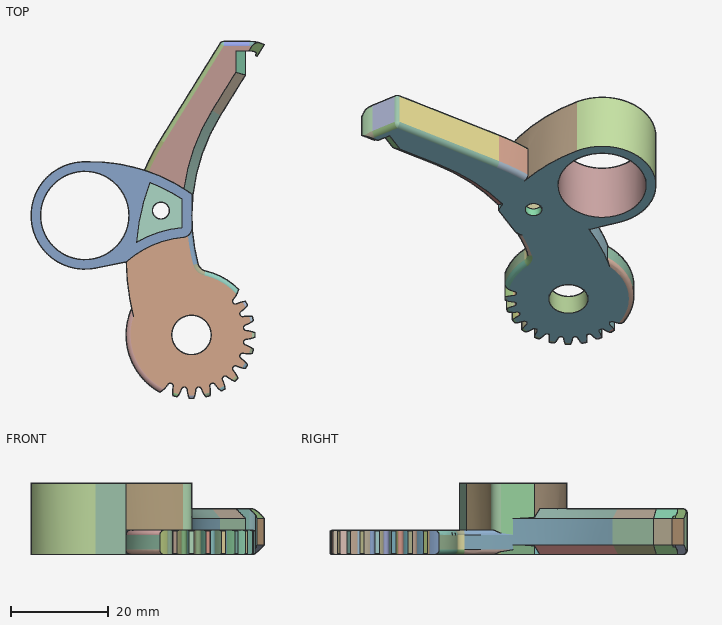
import cadquery as cq
import math

TOWER_HEIGHT = 14.6
ARM_HEIGHT = 9.4
GEAR_PLATE_HEIGHT = 5.0
WALL = 2.0
EDGE_FILLET = 1.0
CUT_MARGIN = 1.0

RING_CENTRE = (-21.8, 24.4)
RING_BORE_RADIUS = 9.0
RING_RADIUS = RING_BORE_RADIUS + WALL
TOWER_TOP_RADIUS = 36.2
TOWER_TOP_CENTRE_X = -20.8
TOWER_CLEARANCE_RADIUS = 20.0
TOWER_RIGHT_X = 0.1
TOWER_CORNER_FILLET = 2.0
SCREW_HOLE_CENTRE = (-6.25, 25.4)
SCREW_HOLE_DIAMETER = 3.4

ARM_ANGLE = 58.2
ARM_LEFT_CENTRE = (32.8, 15.5)
ARM_LEFT_RADIUS = 46.15
ARM_RIGHT_RADIUS = 38.7
ARM_RIGHT_CENTRE = (TOWER_RIGHT_X + ARM_RIGHT_RADIUS, RING_CENTRE[1])
ARM_END_Y = 60.0
ARM_CHAMFER = 2.0

NOTCH_X = 11.05
NOTCH_BOTTOM_Y = 50.0
NOTCH_TOP_Y = ARM_END_Y - WALL
HOOK_BEND_X = 11.9
HOOK_END_Y = 59.3
HOOK_INNER_MIDDLE = (12.65, 57.9)
HOOK_INNER_END = (13.25, 57.6)
BARB_BACK = (13.05, 57.1)
BARB_TIP_Y = 56.9

MODULE = 1.0
TOOTH_COUNT = 24
PRESSURE_ANGLE = math.radians(20)
PITCH_RADIUS = MODULE * TOOTH_COUNT / 2
TIP_RADIUS = PITCH_RADIUS + MODULE
DEDENDUM = 1.25 * MODULE
ROOT_RADIUS = PITCH_RADIUS - DEDENDUM
BASE_RADIUS = PITCH_RADIUS * math.cos(PRESSURE_ANGLE)
DISC_RADIUS = 13.4
GEAR_BORE_DIAMETER = 8.0
TOOTH_PITCH = 360 / TOOTH_COUNT
FIRST_GAP_ANGLE = -112.5
GAP_COUNT = 11
LAST_GAP_ANGLE = FIRST_GAP_ANGLE + (GAP_COUNT - 1) * TOOTH_PITCH
GEAR_MIDDLE_ANGLE = (FIRST_GAP_ANGLE + LAST_GAP_ANGLE) / 2
NECK_FILLET = 2.0


def polar(centre, radius, degrees):
    """Point on a circle."""
    angle = math.radians(degrees)
    return centre[0] + radius * math.cos(angle), centre[1] + radius * math.sin(angle)


def on_circle_at_x(centre, radius, x):
    """Upper point of a circle at a given X."""
    return x, centre[1] + math.sqrt(radius**2 - (x - centre[0])**2)


def on_circle_at_y(centre, radius, y):
    """Left point of a circle at a given Y."""
    return centre[0] - math.sqrt(radius**2 - (y - centre[1])**2), y


def circle_meeting(centre_a, radius_a, centre_b, radius_b):
    """Where two circles meet: the point to the left when looking from centre a to centre b."""
    dx = centre_b[0] - centre_a[0]
    dy = centre_b[1] - centre_a[1]
    distance = math.hypot(dx, dy)
    along = (radius_a**2 - radius_b**2 + distance**2) / (2 * distance)
    across = math.sqrt(radius_a**2 - along**2)
    return (
        centre_a[0] + (along * dx - across * dy) / distance,
        centre_a[1] + (along * dy + across * dx) / distance,
    )


def arc_middle(centre, start, end):
    """Middle of the shorter arc between two points of a circle."""
    mx = (start[0] + end[0]) / 2 - centre[0]
    my = (start[1] + end[1]) / 2 - centre[1]
    scale = math.dist(centre, start) / math.hypot(mx, my)
    return centre[0] + mx * scale, centre[1] + my * scale


def along_arm_to_y(start, y):
    """Point reached by following the arm direction from a start to a given Y."""
    return start[0] + (y - start[1]) / math.tan(math.radians(ARM_ANGLE)), y


def midpoint(start, end):
    """Middle of a straight line."""
    return (start[0] + end[0]) / 2, (start[1] + end[1]) / 2


def toward(centre, target, radius):
    """Point at a radius from the centre, in the direction of the target."""
    scale = radius / math.dist(centre, target)
    return centre[0] + (target[0] - centre[0]) * scale, centre[1] + (target[1] - centre[1]) * scale


GEAR_CENTRE = (0.0, 0.0)
TOWER_TOP_CENTRE = (
    TOWER_TOP_CENTRE_X,
    RING_CENTRE[1]
    - math.sqrt((TOWER_TOP_RADIUS - RING_RADIUS)**2 - (TOWER_TOP_CENTRE_X - RING_CENTRE[0])**2),
)
ARM_SPLIT_Y = RING_CENTRE[1]
ARM_SPLIT_LEFT = on_circle_at_y(ARM_LEFT_CENTRE, ARM_LEFT_RADIUS, ARM_SPLIT_Y)
ARM_SPLIT_RIGHT = on_circle_at_y(ARM_RIGHT_CENTRE, ARM_RIGHT_RADIUS, ARM_SPLIT_Y)


def tower():
    """Ring blended into a wedge-shaped tower."""
    corner = circle_meeting(GEAR_CENTRE, TOWER_CLEARANCE_RADIUS, ARM_LEFT_CENTRE, ARM_LEFT_RADIUS)
    to_corner = math.atan2(corner[1] - RING_CENTRE[1], corner[0] - RING_CENTRE[0])
    tangent_offset = math.acos(RING_RADIUS / math.dist(RING_CENTRE, corner))
    ring_exit = polar(RING_CENTRE, RING_RADIUS, math.degrees(to_corner - tangent_offset))
    ring_entry = toward(TOWER_TOP_CENTRE, RING_CENTRE, TOWER_TOP_RADIUS)
    top_right = on_circle_at_x(TOWER_TOP_CENTRE, TOWER_TOP_RADIUS, TOWER_RIGHT_X)
    bottom_right = on_circle_at_x(GEAR_CENTRE, TOWER_CLEARANCE_RADIUS, TOWER_RIGHT_X)
    body = (
        cq.Workplane("XY")
        .moveTo(*ring_exit)
        .lineTo(*corner)
        .threePointArc(arc_middle(GEAR_CENTRE, corner, bottom_right), bottom_right)
        .lineTo(*top_right)
        .threePointArc(arc_middle(TOWER_TOP_CENTRE, top_right, ring_entry), ring_entry)
        .threePointArc(polar(RING_CENTRE, RING_RADIUS, 180), ring_exit)
        .close()
        .extrude(TOWER_HEIGHT)
    )
    rounded_edge = cq.selectors.NearestToPointSelector((*bottom_right, TOWER_HEIGHT / 2))
    return body.edges(rounded_edge).fillet(TOWER_CORNER_FILLET)


def tower_pocket():
    """Open-topped pocket whose sides run one wall thickness inside the tower and the arm."""
    left_radius = ARM_LEFT_RADIUS - WALL
    top_radius = TOWER_TOP_RADIUS - WALL
    bottom_radius = TOWER_CLEARANCE_RADIUS + WALL
    right_x = TOWER_RIGHT_X - WALL
    top_left = circle_meeting(TOWER_TOP_CENTRE, top_radius, ARM_LEFT_CENTRE, left_radius)
    bottom_left = circle_meeting(GEAR_CENTRE, bottom_radius, ARM_LEFT_CENTRE, left_radius)
    top_right = on_circle_at_x(TOWER_TOP_CENTRE, top_radius, right_x)
    bottom_right = on_circle_at_x(GEAR_CENTRE, bottom_radius, right_x)
    return (
        cq.Workplane("XY", origin=(0, 0, WALL))
        .moveTo(*bottom_left)
        .threePointArc(arc_middle(GEAR_CENTRE, bottom_left, bottom_right), bottom_right)
        .lineTo(*top_right)
        .threePointArc(arc_middle(TOWER_TOP_CENTRE, top_right, top_left), top_left)
        .threePointArc(arc_middle(ARM_LEFT_CENTRE, top_left, bottom_left), bottom_left)
        .close()
        .extrude(TOWER_HEIGHT)
    )


def through_hole(centre, diameter):
    """Cylinder that cuts through the whole part."""
    height = TOWER_HEIGHT + 2 * CUT_MARGIN
    return cq.Workplane("XY", origin=(*centre, -CUT_MARGIN)).circle(diameter / 2).extrude(height)


def rim_edges(body, plan_points, height):
    """Bottom and top edges of an extruded body, picked by points on its outline."""
    picked = []
    for x, y in plan_points:
        for z in (0, height):
            picked += body.edges(cq.selectors.NearestToPointSelector((x, y, z))).vals()
    return body.newObject(picked)


def upper_arm():
    """Curved then straight arm, chamfered along its right side, rounded on its left side and end."""
    left_straight = polar(ARM_LEFT_CENTRE, ARM_LEFT_RADIUS, ARM_ANGLE + 90)
    right_straight = polar(ARM_RIGHT_CENTRE, ARM_RIGHT_RADIUS, ARM_ANGLE + 90)
    end_left = along_arm_to_y(left_straight, ARM_END_Y)
    hook_start = (HOOK_BEND_X, ARM_END_Y)
    hook_end = along_arm_to_y(right_straight, HOOK_END_Y)
    hook_drop = ARM_END_Y - HOOK_END_Y
    hook_radius = ((hook_end[0] - HOOK_BEND_X)**2 + hook_drop**2) / (2 * hook_drop)
    hook_centre = (HOOK_BEND_X, ARM_END_Y - hook_radius)

    left_middle = arc_middle(ARM_LEFT_CENTRE, ARM_SPLIT_LEFT, left_straight)
    right_middle = arc_middle(ARM_RIGHT_CENTRE, ARM_SPLIT_RIGHT, right_straight)
    hook_middle = arc_middle(hook_centre, hook_start, hook_end)
    body = (
        cq.Workplane("XY")
        .moveTo(*ARM_SPLIT_RIGHT)
        .threePointArc(right_middle, right_straight)
        .lineTo(*hook_end)
        .threePointArc(hook_middle, hook_start)
        .lineTo(*end_left)
        .lineTo(*left_straight)
        .threePointArc(left_middle, ARM_SPLIT_LEFT)
        .close()
        .extrude(ARM_HEIGHT)
    )
    right_side = [right_middle, midpoint(right_straight, hook_end)]
    body = rim_edges(body, right_side, ARM_HEIGHT).chamfer(ARM_CHAMFER)

    end_corner = cq.selectors.NearestToPointSelector((*end_left, ARM_HEIGHT / 2))
    body = body.edges(end_corner).fillet(EDGE_FILLET)
    left_and_end = [
        left_middle,
        midpoint(left_straight, end_left),
        end_left,
        midpoint(end_left, hook_start),
        hook_middle,
    ]
    body = rim_edges(body, left_and_end, ARM_HEIGHT).fillet(EDGE_FILLET)
    barb_tip = along_arm_to_y(right_straight, BARB_TIP_Y)
    return body.cut(arm_notch(barb_tip))


def arm_notch(barb_tip):
    """Notch that leaves the hook; its floor carries the same chamfers as the arm."""
    clear_x = HOOK_INNER_END[0] + ARM_CHAMFER + CUT_MARGIN
    plan = (
        cq.Workplane("XY")
        .moveTo(NOTCH_X - ARM_CHAMFER - CUT_MARGIN, NOTCH_BOTTOM_Y)
        .lineTo(NOTCH_X - ARM_CHAMFER - CUT_MARGIN, NOTCH_TOP_Y)
        .lineTo(HOOK_BEND_X, NOTCH_TOP_Y)
        .threePointArc(HOOK_INNER_MIDDLE, HOOK_INNER_END)
        .lineTo(*BARB_BACK)
        .lineTo(*barb_tip)
        .lineTo(clear_x, BARB_TIP_Y)
        .lineTo(clear_x, NOTCH_BOTTOM_Y)
        .close()
        .extrude(ARM_HEIGHT)
    )
    section = (
        cq.Workplane("XZ", origin=(0, ARM_END_Y, 0))
        .moveTo(NOTCH_X - ARM_CHAMFER, 0)
        .lineTo(NOTCH_X, ARM_CHAMFER)
        .lineTo(NOTCH_X, ARM_HEIGHT - ARM_CHAMFER)
        .lineTo(NOTCH_X - ARM_CHAMFER, ARM_HEIGHT)
        .lineTo(clear_x, ARM_HEIGHT)
        .lineTo(clear_x, 0)
        .close()
        .extrude(ARM_END_Y - NOTCH_BOTTOM_Y)
    )
    return plan.intersect(section)


def gear_plate():
    """Lower arm running into the gear disc, with rounded rims except along the arm's left side."""
    disc_left = circle_meeting(GEAR_CENTRE, DISC_RADIUS, ARM_LEFT_CENTRE, ARM_LEFT_RADIUS)
    neck_to_disc = DISC_RADIUS + NECK_FILLET
    neck_to_arm = ARM_RIGHT_RADIUS - NECK_FILLET
    neck_centre = circle_meeting(GEAR_CENTRE, neck_to_disc, ARM_RIGHT_CENTRE, neck_to_arm)
    neck_disc = toward(GEAR_CENTRE, neck_centre, DISC_RADIUS)
    neck_arm = toward(ARM_RIGHT_CENTRE, neck_centre, ARM_RIGHT_RADIUS)

    left_middle = arc_middle(ARM_LEFT_CENTRE, disc_left, ARM_SPLIT_LEFT)
    right_middle = arc_middle(ARM_RIGHT_CENTRE, ARM_SPLIT_RIGHT, neck_arm)
    neck_middle = arc_middle(neck_centre, neck_arm, neck_disc)
    disc_far = polar(GEAR_CENTRE, DISC_RADIUS, GEAR_MIDDLE_ANGLE)
    body = (
        cq.Workplane("XY")
        .moveTo(*disc_left)
        .threePointArc(left_middle, ARM_SPLIT_LEFT)
        .lineTo(*ARM_SPLIT_RIGHT)
        .threePointArc(right_middle, neck_arm)
        .threePointArc(neck_middle, neck_disc)
        .threePointArc(disc_far, disc_left)
        .close()
        .extrude(GEAR_PLATE_HEIGHT)
    )
    rounded_rim = [right_middle, neck_middle, disc_far]
    return rim_edges(body, rounded_rim, GEAR_PLATE_HEIGHT).fillet(EDGE_FILLET)


def gap_half_width(radius):
    """Half the space between two involute teeth at a radius."""
    pressure = math.acos(BASE_RADIUS / radius)
    involute = math.tan(pressure) - pressure
    pitch_involute = math.tan(PRESSURE_ANGLE) - PRESSURE_ANGLE
    return radius * (math.pi / (2 * TOOTH_COUNT) - pitch_involute + involute)


def tooth_gap():
    """Cutter for one space between teeth, pointing along +X."""
    base = gap_half_width(BASE_RADIUS)
    pitch = gap_half_width(PITCH_RADIUS)
    outer_radius = DISC_RADIUS + CUT_MARGIN
    outer = gap_half_width(outer_radius)
    return (
        cq.Workplane("XY", origin=(0, 0, -CUT_MARGIN))
        .moveTo(BASE_RADIUS, base)
        .threePointArc((ROOT_RADIUS, 0), (BASE_RADIUS, -base))
        .threePointArc((PITCH_RADIUS, -pitch), (outer_radius, -outer))
        .lineTo(outer_radius, outer)
        .threePointArc((PITCH_RADIUS, pitch), (BASE_RADIUS, base))
        .close()
        .extrude(GEAR_PLATE_HEIGHT + 2 * CUT_MARGIN)
    )


def tip_trim():
    """Ring sector that trims the disc down to the tooth tips between the first and last gap."""
    outer_radius = DISC_RADIUS + CUT_MARGIN
    corners = [
        (polar(GEAR_CENTRE, radius, FIRST_GAP_ANGLE), polar(GEAR_CENTRE, radius, LAST_GAP_ANGLE))
        for radius in (TIP_RADIUS, outer_radius)
    ]
    (inner_start, inner_end), (outer_start, outer_end) = corners
    return (
        cq.Workplane("XY", origin=(0, 0, -CUT_MARGIN))
        .moveTo(*inner_start)
        .threePointArc(polar(GEAR_CENTRE, TIP_RADIUS, GEAR_MIDDLE_ANGLE), inner_end)
        .lineTo(*outer_end)
        .threePointArc(polar(GEAR_CENTRE, outer_radius, GEAR_MIDDLE_ANGLE), outer_start)
        .close()
        .extrude(GEAR_PLATE_HEIGHT + 2 * CUT_MARGIN)
    )


def toothed_plate():
    """Gear plate with its sector of teeth cut."""
    plate = gear_plate().cut(tip_trim())
    for index in range(GAP_COUNT):
        angle = FIRST_GAP_ANGLE + index * TOOTH_PITCH
        plate = plate.cut(tooth_gap().rotate((0, 0, 0), (0, 0, 1), angle))
    return plate


result = (
    tower()
    .union(upper_arm())
    .union(toothed_plate())
    .cut(tower_pocket())
    .cut(through_hole(RING_CENTRE, 2 * RING_BORE_RADIUS))
    .cut(through_hole(SCREW_HOLE_CENTRE, SCREW_HOLE_DIAMETER))
    .cut(through_hole(GEAR_CENTRE, GEAR_BORE_DIAMETER))
)